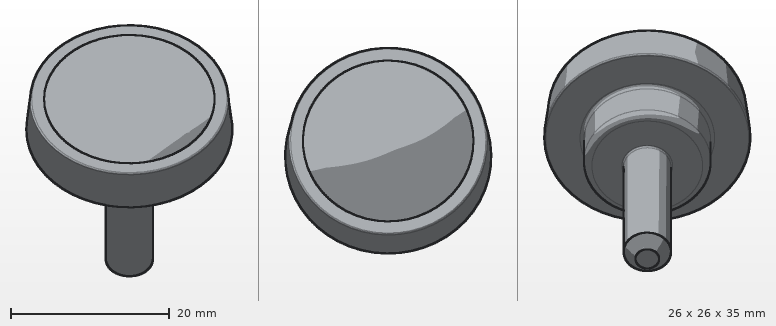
import cadquery as cq
import math

total_height = 35.0
collar_bottom = 20.0
head_bottom = 26.0
head_top = 32.0

pin_radius = 6.0 / 2
tip_chamfer = 1.5
pin_root_fillet = 0.2

collar_radius = 16.0 / 2
collar_edge_round = 1.0
neck_fillet = 0.5

head_bottom_radius = 13.02
head_top_radius = 12.5
rim_round = 0.2

dome_radius = 10.75

dome_height = total_height - head_top
sphere_radius = (dome_radius**2 + dome_height**2) / (2 * dome_height)
dome_mid_radius = dome_radius / 2
dome_mid_height = total_height - sphere_radius + math.sqrt(sphere_radius**2 - dome_mid_radius**2)

edge_tolerance = 0.05

profile = (
    cq.Workplane("XZ")
    .lineTo(pin_radius - tip_chamfer, 0)
    .lineTo(pin_radius, tip_chamfer)
    .lineTo(pin_radius, collar_bottom)
    .lineTo(collar_radius, collar_bottom)
    .lineTo(collar_radius, head_bottom)
    .lineTo(head_bottom_radius, head_bottom)
    .lineTo(head_top_radius, head_top)
    .lineTo(dome_radius, head_top)
    .threePointArc((dome_mid_radius, dome_mid_height), (0, total_height))
    .close()
)
body = profile.revolve(360, (0, 0, 0), (0, 1, 0))

def circle_at(radius, height):
    """Select the circular edge of the given radius at the given height."""
    reach = radius + edge_tolerance
    inner = radius - edge_tolerance
    low = height - edge_tolerance
    high = height + edge_tolerance
    return cq.selectors.BoxSelector((-reach, -reach, low), (reach, reach, high), boundingbox=True) - (
        cq.selectors.BoxSelector((-inner, -inner, low), (inner, inner, high), boundingbox=True)
    )

rounded_edges = [
    (pin_radius, collar_bottom, pin_root_fillet),
    (collar_radius, collar_bottom, collar_edge_round),
    (collar_radius, head_bottom, neck_fillet),
    (head_bottom_radius, head_bottom, rim_round),
    (head_top_radius, head_top, rim_round),
]
for radius, height, fillet in rounded_edges:
    body = body.edges(circle_at(radius, height)).fillet(fillet)

result = body